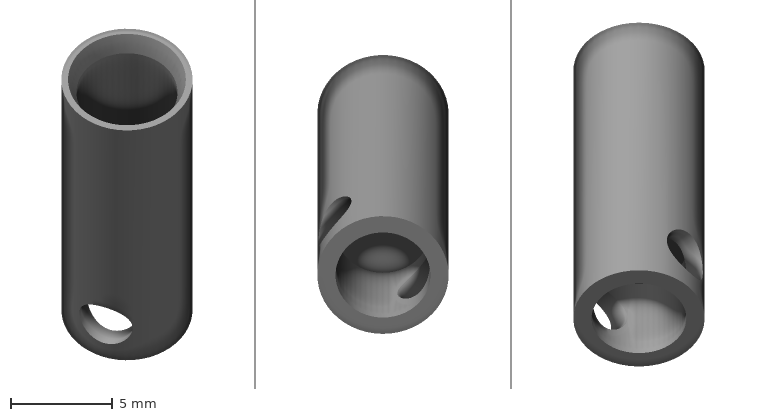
import cadquery as cq
import math

length = 18.0
outer_diameter = 6.5

socket_diameter = 5.0
mouth_diameter = 5.83
mouth_depth = 1.0
mouth_bulge = 0.04
socket_depth = 10.0
point_angle = 150.0
point_flat_diameter = 0.2

lower_bore_diameter = 4.7
lower_bore_depth = 5.0

cross_hole_diameter = 2.8
cross_hole_height = 2.5


def make_socket():
    """Revolved cutter for the socket, its conical floor and its flared mouth."""
    socket_radius = socket_diameter / 2
    mouth_radius = mouth_diameter / 2
    floor_edge_z = length - socket_depth
    point_radius = point_flat_diameter / 2
    cone_depth = (socket_radius - point_radius) / math.tan(math.radians(point_angle / 2))
    flare_middle = (
        (socket_radius + mouth_radius) / 2 - mouth_bulge,
        length - mouth_depth / 2,
    )
    return (
        cq.Workplane("XZ")
        .moveTo(0, floor_edge_z - cone_depth)
        .lineTo(point_radius, floor_edge_z - cone_depth)
        .lineTo(socket_radius, floor_edge_z)
        .lineTo(socket_radius, length - mouth_depth)
        .threePointArc(flare_middle, (mouth_radius, length))
        .lineTo(0, length)
        .close()
        .revolve(360, (0, 0, 0), (0, 1, 0))
    )


def make_cross_hole():
    """Cylinder along Y that passes through the whole sleeve."""
    return (
        cq.Workplane("XZ")
        .center(0, cross_hole_height)
        .circle(cross_hole_diameter / 2)
        .extrude(outer_diameter, both=True)
    )


body = cq.Workplane("XY").circle(outer_diameter / 2).extrude(length)
lower_bore = cq.Workplane("XY").circle(lower_bore_diameter / 2).extrude(lower_bore_depth)

result = body.cut(make_socket()).cut(lower_bore).cut(make_cross_hole())